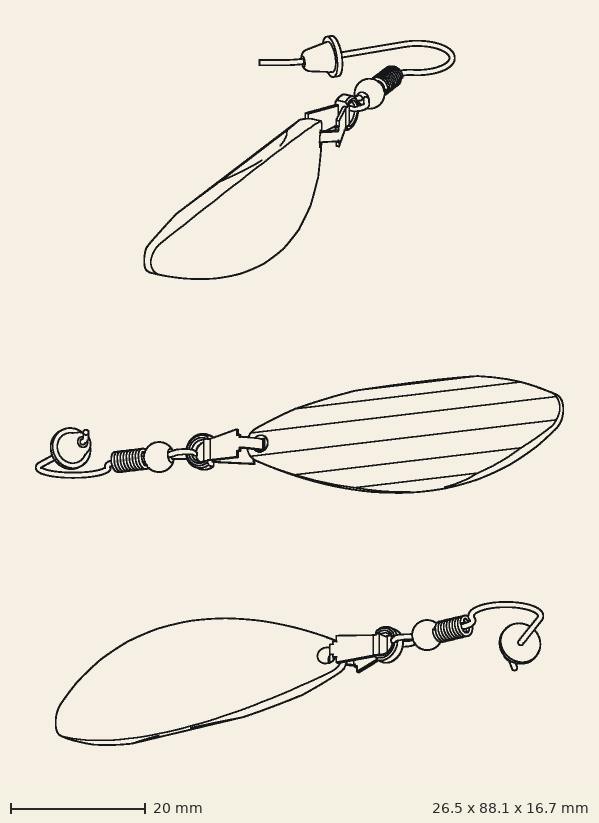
import cadquery as cq
import math

HANG_X = 0.88
MARGIN = 5.0

PENDANT_THICKNESS = 7.5
PENDANT_HALF_LENGTH = 26.35
FRONT_SIDES = 15
FRONT_SIDE_LENGTH = 3.55
BACK_SIDES = 60
BACK_SIDE_LENGTH = 6.0
LENS_RADIUS = 56.0
LENS_HALF_WIDTH = 8.36
EYE_Y = 24.1
EYE_RADIUS = 1.26

RING_Y = 34.1
RING_OUTER_RADIUS = 2.6
RING_INNER_RADIUS = 1.65
RING_WIDTH = 2.0
RING_CHAMFER = 0.3
CROSSBAR_TOP_Y = 33.57
CROSSBAR_HEIGHT = 0.67
LEG_THICKNESS = 0.5
LEG_SPREAD_Y = 32.4
LEG_BEND_Y = 26.15
LEG_BEND_OFFSET = 2.9
PRONG_TIP_Y = 24.0
PRONG_GAP = 0.1
LEG_TOP_HALF_WIDTH = 1.5
LEG_BOTTOM_HALF_WIDTH = 2.1
LEG_BOTTOM_Y = 27.0
NECK_HALF_WIDTH = 1.2
NECK_BOTTOM_Y = 26.5
PRONG_HALF_WIDTH = 0.8

WIRE_RADIUS = 0.41
LOOP_Y = 37.42
LOOP_RADIUS = 1.58
LOOP_HALF_OPENING = 30.0
CROOK_CENTRE = (1.0, 56.12)
CROOK_RADIUS = 5.18
CROOK_END_ANGLE = -69.0
SHANK_ANGLE = 140.6
SHANK_LENGTH = 15.7
TAIL_BEND_RADIUS = 8.5
TAIL_BEND_ANGLE = 22.0
TAIL_LENGTH = 3.75

BEAD_Y = 41.6
BEAD_RADIUS = 2.25
BEAD_HALF_HEIGHT = 2.0
COIL_TOP_Y = 49.2
COIL_OUTER_RADIUS = 1.56
COIL_WIRE_RADIUS = 0.25
COIL_TURNS = 10

STOPPER_DISTANCE = 11.1
FLANGE_RADIUS = 3.05
FLANGE_THICKNESS = 0.8
CONE_TOP_RADIUS = 2.3
CONE_BOTTOM_RADIUS = 1.65
CONE_HEIGHT = 3.4
DOME_HEIGHT = 0.9
DOME_END_RADIUS = 0.8
DOME_BULGE = (0.15, 0.1)


def on_circle(centre, radius, degrees):
    angle = math.radians(degrees)
    return (centre[0] + radius * math.cos(angle), centre[1] + radius * math.sin(angle))


def regular_polygon(workplane, centre, sides, side_length, first_angle):
    """Closed polygon whose first corner lies at first_angle degrees from its centre."""
    radius = side_length / (2 * math.sin(math.pi / sides))
    corners = [on_circle(centre, radius, first_angle + 360 * i / sides) for i in range(sides)]
    return workplane.polyline(corners).close()


def apothem(sides, side_length):
    return side_length / (2 * math.tan(math.pi / sides))


def lens_prism():
    """Lens outline in YZ, two arcs closed by a small tangent arc at each tip, extruded along X."""
    arc_centre_z = LENS_HALF_WIDTH - LENS_RADIUS
    tip_radius = (LENS_RADIUS**2 - PENDANT_HALF_LENGTH**2 - arc_centre_z**2) / (
        2 * (LENS_RADIUS - PENDANT_HALF_LENGTH)
    )
    join_angle = math.degrees(math.atan2(-arc_centre_z, PENDANT_HALF_LENGTH - tip_radius))
    join_y, join_z = on_circle((0, arc_centre_z), LENS_RADIUS, join_angle)
    outline = (
        cq.Workplane("YZ")
        .moveTo(-join_y, join_z)
        .threePointArc((0, LENS_HALF_WIDTH), (join_y, join_z))
        .threePointArc((PENDANT_HALF_LENGTH, 0), (join_y, -join_z))
        .threePointArc((0, -LENS_HALF_WIDTH), (-join_y, -join_z))
        .threePointArc((-PENDANT_HALF_LENGTH, 0), (-join_y, join_z))
        .close()
    )
    return outline.extrude(PENDANT_THICKNESS + MARGIN).translate((-MARGIN / 2, 0, 0))


def make_pendant():
    front_centre = (apothem(FRONT_SIDES, FRONT_SIDE_LENGTH), 0)
    front = regular_polygon(
        cq.Workplane("XZ"), front_centre, FRONT_SIDES, FRONT_SIDE_LENGTH, 180 + 180 / FRONT_SIDES
    ).extrude(PENDANT_HALF_LENGTH + MARGIN, both=True)
    back_centre = (PENDANT_THICKNESS - apothem(BACK_SIDES, BACK_SIDE_LENGTH), 0)
    back = regular_polygon(
        cq.Workplane("XY"), back_centre, BACK_SIDES, BACK_SIDE_LENGTH, 180 / BACK_SIDES
    ).extrude(LENS_HALF_WIDTH + MARGIN, both=True)
    body = front.intersect(back).intersect(lens_prism())
    eye = (
        cq.Workplane("YZ")
        .center(EYE_Y, 0)
        .circle(EYE_RADIUS)
        .extrude(PENDANT_THICKNESS + MARGIN, both=True)
    )
    return body.cut(eye)


def along_shank(distance):
    """Point on the shank's axis, measured from the crook towards the tail."""
    return on_circle(on_circle(CROOK_CENTRE, CROOK_RADIUS, SHANK_ANGLE), distance, SHANK_ANGLE + 90)


def wire_along(path, start, direction):
    plane = cq.Plane(origin=(start[0], start[1], 0), normal=(direction[0], direction[1], 0))
    return cq.Workplane(plane).circle(WIRE_RADIUS).sweep(path)


def make_hook():
    crook_end = on_circle(CROOK_CENTRE, CROOK_RADIUS, CROOK_END_ANGLE)
    toward_bend = on_circle((0, 0), 1, CROOK_END_ANGLE)
    bend_radius = (crook_end[0] - HANG_X) / (1 - toward_bend[0])
    bend_centre = (HANG_X + bend_radius, crook_end[1] + bend_radius * toward_bend[1])
    bend_middle = on_circle(bend_centre, bend_radius, (360 + CROOK_END_ANGLE) / 2)
    crook_middle = on_circle(CROOK_CENTRE, CROOK_RADIUS, (CROOK_END_ANGLE + SHANK_ANGLE) / 2)
    shank_end = along_shank(SHANK_LENGTH)
    tail_centre = on_circle(shank_end, TAIL_BEND_RADIUS, SHANK_ANGLE)
    tail_angle = SHANK_ANGLE + 180 - TAIL_BEND_ANGLE
    tail_middle = on_circle(tail_centre, TAIL_BEND_RADIUS, tail_angle + TAIL_BEND_ANGLE / 2)
    tail_start = on_circle(tail_centre, TAIL_BEND_RADIUS, tail_angle)
    tail_end = on_circle(tail_start, TAIL_LENGTH, tail_angle - 90)

    loop_centre = (HANG_X, LOOP_Y)
    apex = (HANG_X, LOOP_Y + LOOP_RADIUS / math.sin(math.radians(LOOP_HALF_OPENING)))
    right_end = on_circle(loop_centre, LOOP_RADIUS, LOOP_HALF_OPENING)
    left_end = on_circle(loop_centre, LOOP_RADIUS, 180 - LOOP_HALF_OPENING)

    stem_path = (
        cq.Workplane("XY")
        .moveTo(*apex)
        .lineTo(HANG_X, bend_centre[1])
        .threePointArc(bend_middle, crook_end)
        .threePointArc(crook_middle, along_shank(0))
        .lineTo(*shank_end)
        .threePointArc(tail_middle, tail_start)
        .lineTo(*tail_end)
    )
    hook = wire_along(stem_path, apex, (0, 1))
    loop_path = (
        cq.Workplane("XY")
        .moveTo(*apex)
        .lineTo(*left_end)
        .threePointArc((HANG_X, LOOP_Y - LOOP_RADIUS), right_end)
        .lineTo(*apex)
    )
    strand_direction = (left_end[0] - apex[0], left_end[1] - apex[1])
    loop = wire_along(loop_path, apex, strand_direction)
    joint = cq.Workplane("XY").sphere(WIRE_RADIUS).translate((*apex, 0))
    return hook.union(loop).union(joint)


def make_bead(hook):
    slab = cq.Workplane("XY").box(2 * BEAD_RADIUS, 2 * BEAD_HALF_HEIGHT, 2 * BEAD_RADIUS)
    ball = cq.Workplane("XY").sphere(BEAD_RADIUS).intersect(slab)
    return ball.translate((HANG_X, BEAD_Y, 0)).cut(hook)


def make_coil():
    bottom_y = BEAD_Y + BEAD_HALF_HEIGHT + COIL_WIRE_RADIUS
    height = COIL_TOP_Y - COIL_WIRE_RADIUS - bottom_y
    coil_radius = COIL_OUTER_RADIUS - COIL_WIRE_RADIUS
    helix = cq.Wire.makeHelix(height / COIL_TURNS, height, coil_radius)
    section = cq.Workplane("XZ").center(coil_radius, 0).circle(COIL_WIRE_RADIUS)
    coil = section.sweep(helix, isFrenet=True)
    return coil.rotate((0, 0, 0), (1, 0, 0), -90).translate((HANG_X, bottom_y, 0))


def make_stopper(hook):
    cone_bottom = FLANGE_THICKNESS + CONE_HEIGHT
    dome_middle = (
        (CONE_BOTTOM_RADIUS + DOME_END_RADIUS) / 2 + DOME_BULGE[0],
        cone_bottom + DOME_HEIGHT / 2 + DOME_BULGE[1],
    )
    profile = (
        cq.Workplane("XY")
        .lineTo(FLANGE_RADIUS, 0)
        .lineTo(FLANGE_RADIUS, FLANGE_THICKNESS)
        .lineTo(CONE_TOP_RADIUS, FLANGE_THICKNESS)
        .lineTo(CONE_BOTTOM_RADIUS, cone_bottom)
        .threePointArc(dome_middle, (DOME_END_RADIUS, cone_bottom + DOME_HEIGHT))
        .lineTo(0, cone_bottom + DOME_HEIGHT)
        .close()
    )
    turned = profile.revolve(360, (0, 0, 0), (0, 1, 0))
    top = along_shank(STOPPER_DISTANCE)
    return turned.rotate((0, 0, 0), (0, 0, 1), SHANK_ANGLE).translate((*top, 0)).cut(hook)


def make_bail(hook):
    ring = (
        cq.Workplane("YZ")
        .center(RING_Y, 0)
        .circle(RING_OUTER_RADIUS)
        .circle(RING_INNER_RADIUS)
        .extrude(RING_WIDTH / 2, both=True)
        .edges("%CIRCLE")
        .chamfer(RING_CHAMFER)
    )
    crossbar_bottom_y = CROSSBAR_TOP_Y - CROSSBAR_HEIGHT
    below = cq.Workplane("XY").box(4 * RING_WIDTH, MARGIN, 4 * RING_OUTER_RADIUS)
    ring = ring.cut(below.translate((0, crossbar_bottom_y - MARGIN / 2, 0)))
    crossbar = (
        cq.Workplane("XY")
        .box(RING_WIDTH, CROSSBAR_HEIGHT, 2 * RING_INNER_RADIUS)
        .translate((0, CROSSBAR_TOP_Y - CROSSBAR_HEIGHT / 2, 0))
    )
    half_sheet = LEG_THICKNESS / 2
    leg_offset = RING_WIDTH / 2 - half_sheet
    bent_sheet = (
        cq.Workplane("XY")
        .moveTo(leg_offset, crossbar_bottom_y + half_sheet)
        .lineTo(leg_offset, LEG_SPREAD_Y)
        .lineTo(LEG_BEND_OFFSET, LEG_BEND_Y)
        .lineTo(PRONG_GAP / 2 + half_sheet, PRONG_TIP_Y + half_sheet)
        .offset2D(half_sheet)
        .extrude(LEG_BOTTOM_HALF_WIDTH, both=True)
    )
    right_edge = [
        (CROSSBAR_TOP_Y, LEG_TOP_HALF_WIDTH),
        (LEG_BOTTOM_Y, LEG_BOTTOM_HALF_WIDTH),
        (LEG_BOTTOM_Y, NECK_HALF_WIDTH),
        (NECK_BOTTOM_Y, NECK_HALF_WIDTH),
        (NECK_BOTTOM_Y, PRONG_HALF_WIDTH),
        (PRONG_TIP_Y - MARGIN, PRONG_HALF_WIDTH),
    ]
    left_edge = [(y, -z) for y, z in reversed(right_edge)]
    leg_outline = cq.Workplane("YZ").polyline(right_edge + left_edge).close().extrude(MARGIN)
    leg = bent_sheet.intersect(leg_outline)
    bail = ring.union(crossbar).union(leg).union(leg.mirror("YZ"))
    return bail.translate((HANG_X, 0, 0)).cut(hook)


pendant = make_pendant()
hook = make_hook()
bead = make_bead(hook)
coil = make_coil()
stopper = make_stopper(hook)
bail = make_bail(hook)
result = cq.Compound.makeCompound(
    [pendant.val(), hook.val(), bead.val(), coil.val(), stopper.val(), bail.val()]
)